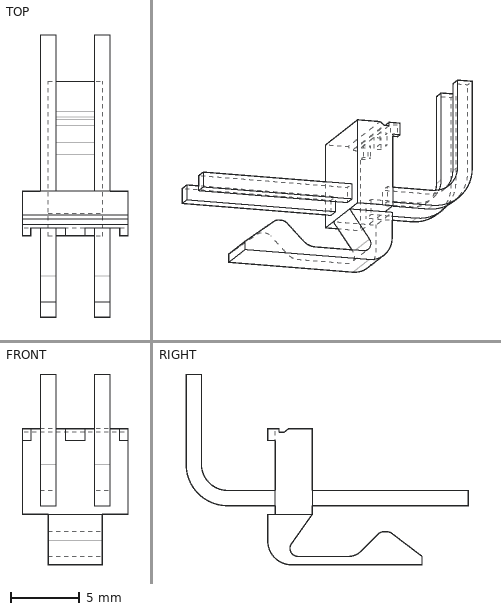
import cadquery as cq
import math


housing_width = 7.77
housing_depth = 2.72
housing_height = 6.29

groove_depth = 0.26
groove_front = 0.29
groove_floor_rear = 0.66
groove_rear = 0.98

tab_projection = 0.56
tab_height = 0.88
side_tab_width = 0.64
middle_tab_width = 1.44

pin_count = 2
pin_pitch = 3.96
pin_size = 1.14
pin_axis_height = 1.19
pin_rear = 14.17
pin_overall_length = 20.71
pin_top = 10.26
bend_inner_radius = 1.91

latch_width = 3.96
overall_height = 13.97
latch_bottom = pin_top - overall_height
latch_tip = 10.77
arm_thickness = 0.635
hook_height = 2.45
hook_front_angle = 45
heel_radius = 1.78
throat_vertex = 0.55
throat_radius = 0.58
tip_slope_length = 2.39
crest_length = 0.66
hook_crest_rear = latch_tip - tip_slope_length
hook_crest_front = hook_crest_rear - crest_length
crest_radius = 0.65
valley_radius = 1.25


def extrude_profile(points, width):
    """Prism of a Y-Z outline, centred on the mid-plane."""
    return cq.Workplane("YZ").polyline(points).close().extrude(width / 2, both=True)


def round_corner(body, point, radius):
    """Fillet the X-direction edge that passes through a Y-Z outline corner."""
    return body.edges("|X").edges(cq.NearestToPointSelector((0, *point))).fillet(radius)


def make_housing():
    groove_floor = housing_height - groove_depth
    outline = [
        (0, 0),
        (housing_depth, 0),
        (housing_depth, housing_height),
        (groove_rear, housing_height),
        (groove_floor_rear, groove_floor),
        (groove_front, groove_floor),
        (groove_front, housing_height),
        (0, housing_height),
    ]
    return extrude_profile(outline, housing_width)


def make_tab(center_x, width):
    return cq.Workplane("XY").box(
        width, tab_projection + groove_front, tab_height, centered=(True, False, False)
    ).translate((center_x, -tab_projection, housing_height - tab_height))


def make_pin(center_x):
    pin_front = pin_rear - pin_overall_length
    lower = pin_axis_height - pin_size / 2
    upper = lower + pin_size
    outer_corner = (pin_front, lower)
    inner_corner = (pin_front + pin_size, upper)
    outline = [
        (pin_rear, lower),
        outer_corner,
        (pin_front, pin_top),
        (pin_front + pin_size, pin_top),
        inner_corner,
        (pin_rear, upper),
    ]
    pin = extrude_profile(outline, pin_size)
    pin = round_corner(pin, inner_corner, bend_inner_radius)
    pin = round_corner(pin, outer_corner, bend_inner_radius + pin_size)
    return pin.translate((center_x, 0, 0))


def make_latch():
    arm_top = latch_bottom + arm_thickness
    crest = latch_bottom + hook_height
    hook_run = (crest - arm_top) / math.tan(math.radians(hook_front_angle))
    heel = (-tab_projection, latch_bottom)
    throat = (throat_vertex, arm_top)
    valley = (hook_crest_front - hook_run, arm_top)
    crest_front = (hook_crest_front, crest)
    crest_rear = (hook_crest_rear, crest)
    outline = [
        (-tab_projection, 0),
        heel,
        (latch_tip, latch_bottom),
        (latch_tip, arm_top),
        crest_rear,
        crest_front,
        valley,
        throat,
        (housing_depth, 0),
    ]
    latch = extrude_profile(outline, latch_width)
    latch = round_corner(latch, heel, heel_radius)
    latch = round_corner(latch, throat, throat_radius)
    latch = round_corner(latch, valley, valley_radius)
    latch = round_corner(latch, crest_front, crest_radius)
    return round_corner(latch, crest_rear, crest_radius)


result = make_housing().union(make_latch())

side_tab_x = (housing_width - side_tab_width) / 2
for tab_x, tab_width in (
    (-side_tab_x, side_tab_width),
    (0, middle_tab_width),
    (side_tab_x, side_tab_width),
):
    result = result.union(make_tab(tab_x, tab_width))

for index in range(pin_count):
    pin_x = (index - (pin_count - 1) / 2) * pin_pitch
    result = result.union(make_pin(pin_x))